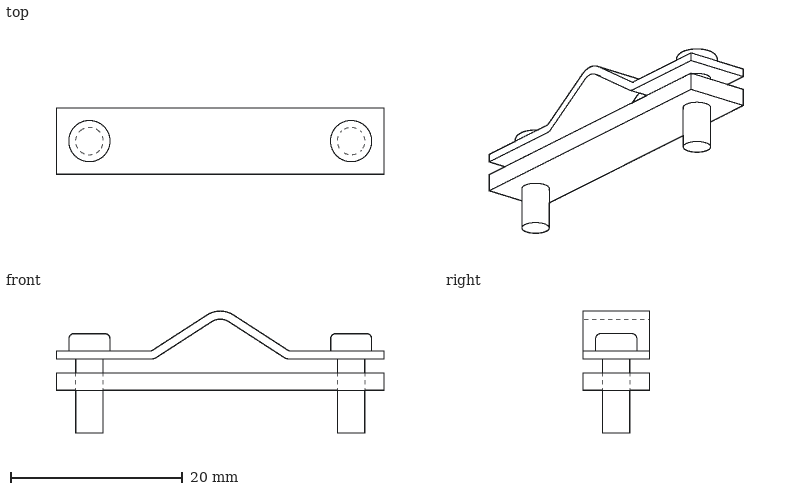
import cadquery as cq
import math

length = 38.1
width = 7.74
total_height = 14.22

bar_thickness = 2.05

strap_gap = 1.6
strap_thickness = 0.97
foot_length = 11.03
foot_bend_radius = 0.1
crest_inner_radius = 1.85

screw_end_distance = 3.83
shank_diameter = 3.2
shank_protrusion = 4.97
head_diameter = 4.8
head_height = 2.0
head_fillet = 0.6

half_length = length / 2
foot_end = half_length - foot_length
screw_x = half_length - screw_end_distance
strap_bottom = bar_thickness + strap_gap
strap_top = strap_bottom + strap_thickness
crest_top = total_height - shank_protrusion
foot_outer_radius = foot_bend_radius + strap_thickness
crest_outer_radius = crest_inner_radius + strap_thickness
foot_center_z = strap_top + foot_bend_radius
crest_center_z = crest_top - crest_outer_radius

center_rise = crest_center_z - foot_center_z
center_distance = math.hypot(foot_end, center_rise)
slope_angle = math.atan2(center_rise, foot_end) + math.asin(
    (foot_bend_radius + crest_outer_radius) / center_distance
)


def foot_bend_point(side, radius, angle):
    """Point on a foot bend; side is -1 or 1, angle is measured from straight down."""
    x = side * (foot_end - radius * math.sin(angle))
    return x, foot_center_z - radius * math.cos(angle)


def crest_point(side, radius):
    """Point where the crest bend meets the slope on the given side."""
    x = side * radius * math.sin(slope_angle)
    return x, crest_center_z + radius * math.cos(slope_angle)


def make_strap():
    """Sheet strap: two flat feet joined by two slopes and a rounded crest."""
    bend_middle = slope_angle / 2
    profile = (
        cq.Workplane("XZ")
        .moveTo(-half_length, strap_top)
        .lineTo(-foot_end, strap_top)
        .threePointArc(
            foot_bend_point(-1, foot_bend_radius, bend_middle),
            foot_bend_point(-1, foot_bend_radius, slope_angle),
        )
        .lineTo(*crest_point(-1, crest_outer_radius))
        .threePointArc((0, crest_top), crest_point(1, crest_outer_radius))
        .lineTo(*foot_bend_point(1, foot_bend_radius, slope_angle))
        .threePointArc(
            foot_bend_point(1, foot_bend_radius, bend_middle),
            (foot_end, strap_top),
        )
        .lineTo(half_length, strap_top)
        .lineTo(half_length, strap_bottom)
        .lineTo(foot_end, strap_bottom)
        .threePointArc(
            foot_bend_point(1, foot_outer_radius, bend_middle),
            foot_bend_point(1, foot_outer_radius, slope_angle),
        )
        .lineTo(*crest_point(1, crest_inner_radius))
        .threePointArc((0, crest_top - strap_thickness), crest_point(-1, crest_inner_radius))
        .lineTo(*foot_bend_point(-1, foot_outer_radius, slope_angle))
        .threePointArc(
            foot_bend_point(-1, foot_outer_radius, bend_middle),
            (-foot_end, strap_bottom),
        )
        .lineTo(-half_length, strap_bottom)
        .close()
    )
    return profile.extrude(width / 2, both=True)


def make_screw(x):
    """Screw with a round-edged head resting on the strap."""
    shank = (
        cq.Workplane("XY", origin=(x, 0, -shank_protrusion))
        .circle(shank_diameter / 2)
        .extrude(shank_protrusion + strap_top)
    )
    head = (
        cq.Workplane("XY", origin=(x, 0, strap_top))
        .circle(head_diameter / 2)
        .extrude(head_height)
        .faces(">Z")
        .edges()
        .fillet(head_fillet)
    )
    return shank.union(head)


def make_screwed_strap():
    """Strap and its two screws as one body."""
    body = make_strap()
    for x in (-screw_x, screw_x):
        body = body.union(make_screw(x))
    return body


def make_bar():
    """Flat bar with a through hole for each screw shank."""
    return (
        cq.Workplane("XY")
        .rect(length, width)
        .extrude(bar_thickness)
        .faces(">Z")
        .workplane()
        .pushPoints([(-screw_x, 0), (screw_x, 0)])
        .hole(shank_diameter)
    )


screwed_strap = make_screwed_strap()
bar = make_bar()

result = cq.Compound.makeCompound([screwed_strap.solids().val(), bar.solids().val()])